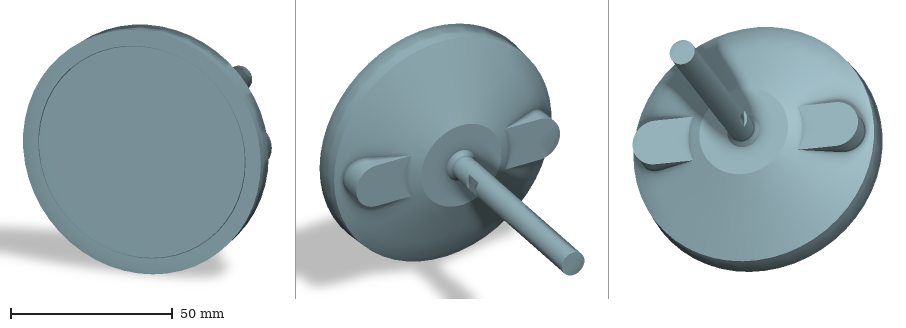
import cadquery as cq

total_length = 90.0

base_diameter = 78.0
rim_top_diameter = 77.2
rim_height = 8.4
dome_top_diameter = 28.4
dome_top = 19.9

pad_diameter = 67.5
recess_diameter = 68.0
groove_depth = 0.9

lug_span = 72.4
lug_width = 14.5
lug_top = 18.0

collar_diameter = 10.5
collar_top = 21.3
neck_diameter = 7.8
neck_top = 25.0
stem_diameter = 8.0

flats_start = 30.15
flats_end = 36.1
across_flats = 5.9


def make_revolved_body():
    """Foot plate, collar, neck and stem as one turned profile."""
    profile = [
        (0, 0),
        (base_diameter / 2, 0),
        (rim_top_diameter / 2, rim_height),
        (dome_top_diameter / 2, dome_top),
        (collar_diameter / 2, dome_top),
        (neck_diameter / 2, collar_top),
        (neck_diameter / 2, neck_top),
        (stem_diameter / 2, neck_top),
        (stem_diameter / 2, total_length),
        (0, total_length),
    ]
    return cq.Workplane("XY").polyline(profile).close().revolve(360, (0, 0), (0, 1))


def make_lugs():
    """Round-ended bar whose two ends stand out of the dome."""
    height = lug_top - rim_height
    lugs = cq.Workplane("XZ", origin=(0, rim_height, 0)).slot2D(lug_span, lug_width)
    return lugs.extrude(-height)


def make_pad_groove():
    """Thin ring cut into the bottom face."""
    ring = cq.Workplane("XZ").circle(recess_diameter / 2).circle(pad_diameter / 2)
    return ring.extrude(-groove_depth)


def make_flat_cutter(side):
    """Block that cuts one wrench flat; side is +1 or -1 along X."""
    depth = stem_diameter / 2
    center_x = side * (across_flats + depth) / 2
    center_y = (flats_start + flats_end) / 2
    block = cq.Workplane("XY").box(depth, flats_end - flats_start, stem_diameter)
    return block.translate((center_x, center_y, 0))


result = make_revolved_body().union(make_lugs()).cut(make_pad_groove())
for side in (-1, 1):
    result = result.cut(make_flat_cutter(side))